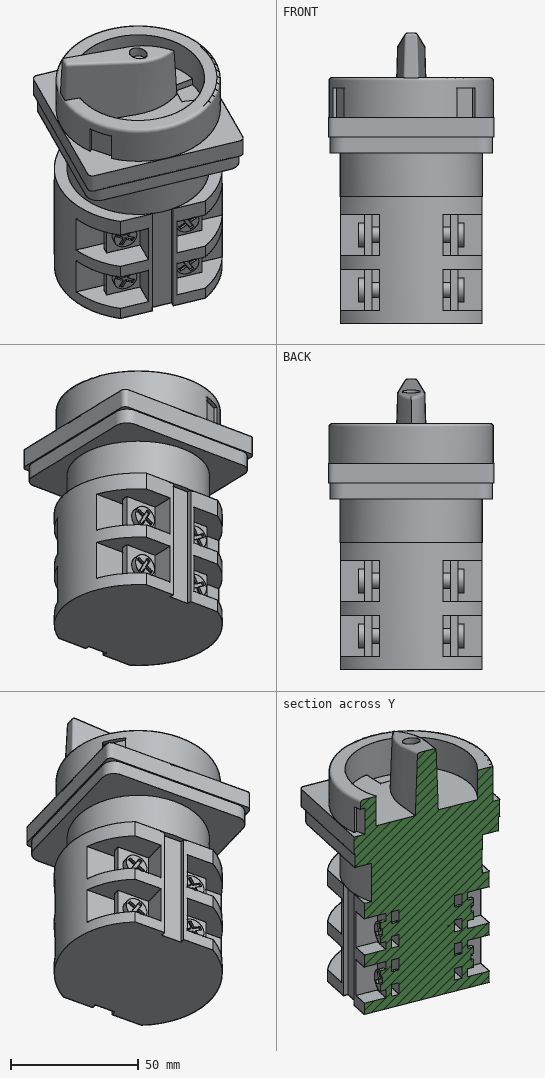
import cadquery as cq
import math

CUT_MARGIN = 1.0

BODY_RADIUS = 33.0
BODY_HEIGHT = 50.0
FLAT_X = 27.8
GROOVE_WIDTH = 8.7
GROOVE_DEPTH = 2.0

WINDOW_FLOORS = (5.23, 26.85)
WINDOW_HEIGHT = 16.05
WINDOW_WALL_X = 12.4
WINDOW_WALL_Y = 6.0
TERMINAL_X = 15.5
TERMINAL_THICKNESS = 2.8
TERMINAL_LENGTH = 14.0

SCREW_Y = WINDOW_WALL_Y + TERMINAL_LENGTH / 2
SHANK_RADIUS = 3.0
HEAD_RADIUS = 4.7
HEAD_HEIGHT = 2.5
CROSS_LENGTH = 7.6
CROSS_WIDTH = 1.5
CROSS_DEPTH = 1.0
CROSS_ANGLE = 30.0

NECK_RADIUS = 28.0
BACK_PLATE_BOTTOM = 67.0
BACK_PLATE_SIDE = 64.0
BACK_PLATE_CORNER = 5.25
FRONT_PLATE_BOTTOM = 73.2
FRONT_PLATE_SIDE = 64.99
FRONT_PLATE_CORNER = 2.0
FRONT_PLATE_TOP = 81.0

RING_RADIUS = 32.3
RING_BORE_RADIUS = 26.0
RING_TOP = 96.7
RING_FILLET = 1.4
DIAL_FLOOR = 83.5

NOTCH_ANGLES = (206.7, 312.2)
NOTCH_WIDTH = 9.4
NOTCH_DEPTH = 1.4
NOTCH_TOP = 92.5

RECESS_DEPTH = 3.0
RECESS_NEAR_Y = 16.4
RECESS_FAR_Y = 25.0
RECESS_NEAR_HALF = 5.0
RECESS_FAR_HALF = 6.5

HANDLE_TIP_Y = 16.2
HANDLE_HALF_WIDTH = 6.3
HANDLE_WIDEST_Y = -0.5
HANDLE_BACK_Y = -32.15
HANDLE_BACK_HALF = 3.4
HANDLE_DRAFT = 2.0
HANDLE_FILLET = 1.2
HANDLE_BACK_FILLET = 0.8
HANDLE_PEAK_Y = -31.0
HANDLE_PEAK_Z = 114.35
HANDLE_SLOPE = 9.4
HANDLE_HOLE_RADIUS = 3.45
HANDLE_HOLE_FLOOR = 105.0


def cylinder(radius, bottom, top):
    return cq.Workplane("XY").workplane(offset=bottom).circle(radius).extrude(top - bottom)


def box(x_range, y_range, z_range):
    """Box between the given limits along each axis."""
    low, high = zip(x_range, y_range, z_range)
    size = [b - a for a, b in zip(low, high)]
    return cq.Workplane("XY").box(*size, centered=False).translate(low)


def square_plate(side, corner, bottom, top):
    plate = cq.Workplane("XY").workplane(offset=bottom).rect(side, side).extrude(top - bottom)
    return plate.edges("|Z").fillet(corner)


def in_all_quadrants(shape):
    """The shape together with its mirror images in the XZ and YZ planes."""
    both_ends = shape.union(shape.mirror("XZ"))
    return both_ends.union(both_ends.mirror("YZ"))


def window(floor):
    return box(
        (WINDOW_WALL_X, BODY_RADIUS + CUT_MARGIN),
        (WINDOW_WALL_Y, BODY_RADIUS + CUT_MARGIN),
        (floor, floor + WINDOW_HEIGHT),
    )


def terminal(floor):
    """Terminal plate with its cross-recess screw."""
    outer_x = TERMINAL_X + TERMINAL_THICKNESS
    plate = box(
        (TERMINAL_X, outer_x),
        (WINDOW_WALL_Y, WINDOW_WALL_Y + TERMINAL_LENGTH),
        (floor, floor + WINDOW_HEIGHT),
    )
    screw_z = floor + WINDOW_HEIGHT / 2
    axis = cq.Workplane("YZ").center(SCREW_Y, screw_z)
    shank = axis.workplane(offset=WINDOW_WALL_X).circle(SHANK_RADIUS).extrude(TERMINAL_X - WINDOW_WALL_X)
    head = axis.workplane(offset=outer_x).circle(HEAD_RADIUS).extrude(HEAD_HEIGHT)
    cross_plane = axis.workplane(offset=outer_x + HEAD_HEIGHT - CROSS_DEPTH)
    cross = cross_plane.rect(CROSS_LENGTH, CROSS_WIDTH).extrude(CROSS_DEPTH)
    cross = cross.union(cross_plane.rect(CROSS_WIDTH, CROSS_LENGTH).extrude(CROSS_DEPTH))
    cross = cross.rotate((0, SCREW_Y, screw_z), (1, SCREW_Y, screw_z), CROSS_ANGLE)
    return plate.union(shank).union(head.cut(cross))


def contact_block():
    body = cylinder(BODY_RADIUS, 0, BODY_HEIGHT)
    body = body.intersect(
        box((-FLAT_X, FLAT_X), (-BODY_RADIUS, BODY_RADIUS), (0, BODY_HEIGHT))
    )
    for side in (-1, 1):
        groove = cq.Workplane("XY").center(side * FLAT_X, 0).rect(2 * GROOVE_DEPTH, GROOVE_WIDTH)
        body = body.cut(groove.extrude(BODY_HEIGHT))
    for floor in WINDOW_FLOORS:
        body = body.cut(in_all_quadrants(window(floor)))
        body = body.union(in_all_quadrants(terminal(floor)))
    return body


def dial_ring():
    ring = cylinder(RING_RADIUS, FRONT_PLATE_TOP, RING_TOP)
    ring = ring.faces(">Z").edges().fillet(RING_FILLET)
    ring = ring.cut(cylinder(RING_BORE_RADIUS, DIAL_FLOOR, RING_TOP))
    half_chord = NOTCH_WIDTH / 2
    floor_distance = math.sqrt(RING_RADIUS**2 - half_chord**2) - NOTCH_DEPTH
    for angle in NOTCH_ANGLES:
        notch = box(
            (floor_distance, RING_RADIUS + CUT_MARGIN),
            (-half_chord, half_chord),
            (FRONT_PLATE_TOP, NOTCH_TOP),
        )
        ring = ring.cut(notch.rotate((0, 0, 0), (0, 0, 1), angle))
    return ring


def dial_recess():
    outline = [
        (-RECESS_NEAR_HALF, RECESS_NEAR_Y),
        (RECESS_NEAR_HALF, RECESS_NEAR_Y),
        (RECESS_FAR_HALF, RECESS_FAR_Y),
        (RECESS_FAR_HALF, RING_RADIUS),
        (-RECESS_FAR_HALF, RING_RADIUS),
        (-RECESS_FAR_HALF, RECESS_FAR_Y),
    ]
    prism = cq.Workplane("XY").workplane(offset=DIAL_FLOOR - RECESS_DEPTH).polyline(outline).close()
    return prism.extrude(RECESS_DEPTH).intersect(cylinder(RING_BORE_RADIUS, 0, RING_TOP))


def handle():
    """Drafted pointer grip with a sloping, rounded top and a round blind hole."""
    nose = HANDLE_TIP_Y - HANDLE_WIDEST_Y
    flank_radius = (HANDLE_HALF_WIDTH**2 + nose**2) / (2 * HANDLE_HALF_WIDTH)

    def flank(y):
        rise = math.sqrt(flank_radius**2 - (y - HANDLE_WIDEST_Y) ** 2)
        return HANDLE_HALF_WIDTH - flank_radius + rise

    tail_slope = (HANDLE_HALF_WIDTH - HANDLE_BACK_HALF) / (HANDLE_WIDEST_Y - HANDLE_BACK_Y)
    join_y = HANDLE_WIDEST_Y - flank_radius * math.sin(math.atan(tail_slope))
    middle_y = (HANDLE_TIP_Y + join_y) / 2
    grip = (
        cq.Workplane("XY")
        .workplane(offset=DIAL_FLOOR)
        .moveTo(0, HANDLE_TIP_Y)
        .threePointArc((flank(middle_y), middle_y), (flank(join_y), join_y))
        .lineTo(HANDLE_BACK_HALF, HANDLE_BACK_Y)
        .lineTo(-HANDLE_BACK_HALF, HANDLE_BACK_Y)
        .lineTo(-flank(join_y), join_y)
        .threePointArc((-flank(middle_y), middle_y), (0, HANDLE_TIP_Y))
        .close()
        .extrude(HANDLE_PEAK_Z + HANDLE_FILLET - DIAL_FLOOR, taper=HANDLE_DRAFT)
    )
    grip = grip.faces("<Y").edges("not |X").fillet(HANDLE_BACK_FILLET)
    reach = 2 * RING_RADIUS
    above_top = box((-reach, reach), (-reach, reach), (0, reach))
    above_top = above_top.rotate((0, 0, 0), (1, 0, 0), -HANDLE_SLOPE)
    grip = grip.cut(above_top.translate((0, HANDLE_PEAK_Y, HANDLE_PEAK_Z)))
    grip = grip.faces(">Z").edges().fillet(HANDLE_FILLET)
    grip = grip.intersect(cylinder(RING_RADIUS, DIAL_FLOOR, HANDLE_PEAK_Z))
    return grip.cut(cylinder(HANDLE_HOLE_RADIUS, HANDLE_HOLE_FLOOR, HANDLE_PEAK_Z))


result = contact_block()
result = result.union(cylinder(NECK_RADIUS, BODY_HEIGHT, BACK_PLATE_BOTTOM))
result = result.union(
    square_plate(BACK_PLATE_SIDE, BACK_PLATE_CORNER, BACK_PLATE_BOTTOM, FRONT_PLATE_BOTTOM)
)
result = result.union(
    square_plate(FRONT_PLATE_SIDE, FRONT_PLATE_CORNER, FRONT_PLATE_BOTTOM, FRONT_PLATE_TOP)
)
result = result.union(dial_ring()).cut(dial_recess()).union(handle())